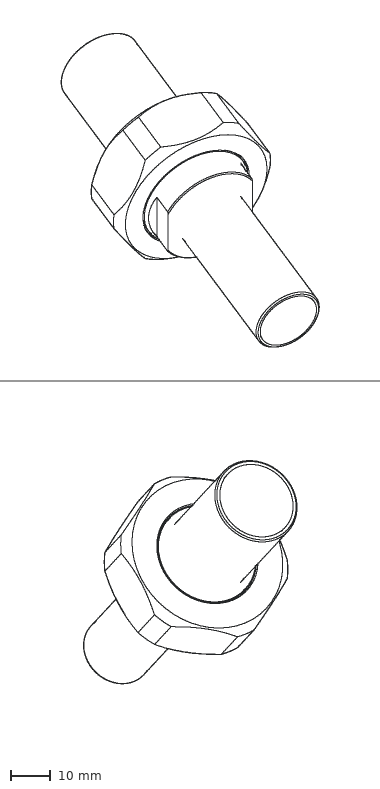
import cadquery as cq
import math

LENGTH = 99.5

NUT_START = 34.9
NUT_END = 51.0
NUT_ACROSS_FLATS = 41.0
NUT_TURNED_DIAMETER = 44.7
NUT_CHAMFER = 2.2
NUT_LIP_BORE = 26.5
NUT_LIP_THICKNESS = 4.0
NUT_EDGE_BREAK = 0.3
THREAD_DIAMETER = 30.2

JOINT_X = 42.8
SLEEVE_TUBE_DIAMETER = 22.0
SLEEVE_BORE = 19.6
SLEEVE_COLLAR_DIAMETER = 26.0
SLEEVE_COLLAR_START = 35.2
SLEEVE_FILLET = 0.9

FITTING_TUBE_DIAMETER = 18.0
FITTING_BORE = 16.0
RELIEF_DIAMETER = 29.5
RELIEF_START = 50.1
COLLAR_DIAMETER = 28.0
COLLAR_START = 51.7
COLLAR_END = 58.5
COLLAR_CHAMFER = 0.3
TUBE_ROOT_FILLET = 0.5
WRENCH_ACROSS_FLATS = 24.0
WRENCH_FLAT_START = 52.5
WRENCH_RUNOUT = 0.7

TUBE_END_CHAMFER = 0.4
ARC_MID = math.sqrt(0.5)


def revolve_about_x(profile):
    """Turn a closed (x, radius) profile into a solid around the X axis."""
    return profile.close().revolve(360, (0, 0, 0), (1, 0, 0))


def make_nut():
    length = NUT_END - NUT_START
    corner_diameter = NUT_ACROSS_FLATS / math.cos(math.pi / 6)
    hexagon = (
        cq.Workplane("YZ", origin=(NUT_START, 0, 0))
        .polygon(6, corner_diameter)
        .extrude(length)
    )
    turned_blank = (
        cq.Workplane("YZ", origin=(NUT_START, 0, 0))
        .circle(NUT_TURNED_DIAMETER / 2)
        .extrude(length)
        .edges()
        .chamfer(NUT_CHAMFER)
    )
    lip_radius = NUT_LIP_BORE / 2
    thread_radius = THREAD_DIAMETER / 2
    lip_end = NUT_START + NUT_LIP_THICKNESS
    bore = revolve_about_x(
        cq.Workplane("XY")
        .moveTo(NUT_START, 0)
        .lineTo(NUT_START, lip_radius + NUT_EDGE_BREAK)
        .lineTo(NUT_START + NUT_EDGE_BREAK, lip_radius)
        .lineTo(lip_end, lip_radius)
        .lineTo(lip_end, thread_radius)
        .lineTo(NUT_END, thread_radius)
        .lineTo(NUT_END, 0)
    )
    return hexagon.intersect(turned_blank).cut(bore)


def make_sleeve():
    bore_radius = SLEEVE_BORE / 2
    tube_radius = SLEEVE_TUBE_DIAMETER / 2
    collar_radius = SLEEVE_COLLAR_DIAMETER / 2
    flange_radius = THREAD_DIAMETER / 2
    flange_start = NUT_START + NUT_LIP_THICKNESS
    fillet_start = SLEEVE_COLLAR_START - SLEEVE_FILLET
    fillet_top = tube_radius + SLEEVE_FILLET
    fillet_mid = (fillet_start + SLEEVE_FILLET * ARC_MID, fillet_top - SLEEVE_FILLET * ARC_MID)
    return revolve_about_x(
        cq.Workplane("XY")
        .moveTo(0, bore_radius)
        .lineTo(0, tube_radius - TUBE_END_CHAMFER)
        .lineTo(TUBE_END_CHAMFER, tube_radius)
        .lineTo(fillet_start, tube_radius)
        .threePointArc(fillet_mid, (SLEEVE_COLLAR_START, fillet_top))
        .lineTo(SLEEVE_COLLAR_START, collar_radius)
        .lineTo(flange_start, collar_radius)
        .lineTo(flange_start, flange_radius)
        .lineTo(JOINT_X, flange_radius)
        .lineTo(JOINT_X, bore_radius)
    )


def turned_fitting():
    bore_radius = FITTING_BORE / 2
    tube_radius = FITTING_TUBE_DIAMETER / 2
    collar_radius = COLLAR_DIAMETER / 2
    relief_radius = RELIEF_DIAMETER / 2
    thread_radius = THREAD_DIAMETER / 2

    relief_fillet = relief_radius - collar_radius
    relief_end = COLLAR_START - relief_fillet
    relief_mid = (COLLAR_START - relief_fillet * ARC_MID, relief_radius - relief_fillet * ARC_MID)

    root_end = COLLAR_END + TUBE_ROOT_FILLET
    root_top = tube_radius + TUBE_ROOT_FILLET
    root_mid = (root_end - TUBE_ROOT_FILLET * ARC_MID, root_top - TUBE_ROOT_FILLET * ARC_MID)
    return revolve_about_x(
        cq.Workplane("XY")
        .moveTo(JOINT_X, bore_radius)
        .lineTo(JOINT_X, thread_radius)
        .lineTo(RELIEF_START, thread_radius)
        .lineTo(RELIEF_START, relief_radius)
        .lineTo(relief_end, relief_radius)
        .threePointArc(relief_mid, (COLLAR_START, collar_radius))
        .lineTo(COLLAR_END - COLLAR_CHAMFER, collar_radius)
        .lineTo(COLLAR_END, collar_radius - COLLAR_CHAMFER)
        .lineTo(COLLAR_END, root_top)
        .threePointArc(root_mid, (root_end, tube_radius))
        .lineTo(LENGTH - TUBE_END_CHAMFER, tube_radius)
        .lineTo(LENGTH, tube_radius - TUBE_END_CHAMFER)
        .lineTo(LENGTH, bore_radius)
    )


def wrench_flat_cutter(side):
    """Prism that cuts one wrench flat, with a sloped run-out, on the given Y side."""
    flat_y = side * WRENCH_ACROSS_FLATS / 2
    rim_y = side * COLLAR_DIAMETER / 2
    return (
        cq.Workplane("XY")
        .moveTo(WRENCH_FLAT_START, flat_y)
        .lineTo(WRENCH_FLAT_START - WRENCH_RUNOUT, rim_y)
        .lineTo(COLLAR_END, rim_y)
        .lineTo(COLLAR_END, flat_y)
        .close()
        .extrude(COLLAR_DIAMETER / 2, both=True)
    )


def make_fitting():
    fitting = turned_fitting()
    for side in (-1, 1):
        fitting = fitting.cut(wrench_flat_cutter(side))
    return fitting


nut = make_nut()
sleeve = make_sleeve()
fitting = make_fitting()

result = cq.Compound.makeCompound([nut.solids().val(), sleeve.solids().val(), fitting.solids().val()])